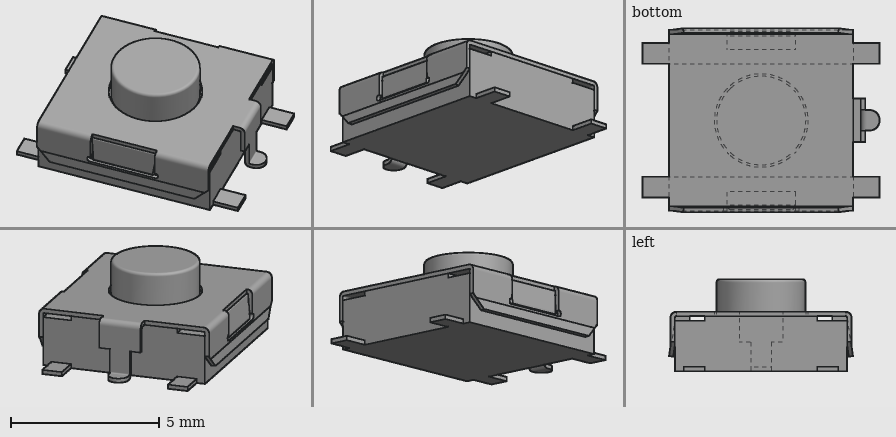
import cadquery as cq
import math


body_length = 6.2
base_width = 5.8
seat_height = 1.86
notch_floor = 1.7
lead_span = 8.0
lead_width = 0.7
lead_pitch = 4.5

sheet = 0.15
bend_radius = 0.2
inner_radius = bend_radius - sheet
skirt_end_height = 0.99
flare_start = 0.86
flare_drop = 0.37
flare_angle = 8.0
button_hole_diameter = 3.15

window_width = 2.32
window_bottom = 0.94
relief_diameter = 0.2
relief_length = 2.56
catch_block_depth = 0.5
catch_bottom = 1.0
catch_reach = 0.1
catch_lip_height = 0.08
catch_flank = 0.09

tab_outer_x = 3.52
tab_width = 1.48
tab_shoulder = 1.0

button_diameter = 3.0
button_top = 3.1
button_edge_radius = 0.1

base_side = base_width / 2
cover_side = base_side + sheet
cover_top = seat_height + sheet
notch_width = base_side - (lead_pitch - lead_width) / 2
overcut = 0.4


def box(x_range, y_range, z_range):
    """Box between the given limits on each axis."""
    size = [high - low for low, high in (x_range, y_range, z_range)]
    corner = (x_range[0], y_range[0], z_range[0])
    return cq.Workplane("XY").box(*size, centered=False).translate(corner)


def on_both_sides(shape):
    """A feature of the -Y side together with its mirror image on the +Y side."""
    return shape.union(shape.mirror("XZ"))


def make_catch():
    """Wedge on the -Y side of the base, flush at the top edge, with leaning flanks and a flat underside."""
    half_width = window_width / 2
    profile = [
        (-base_side, seat_height - inner_radius),
        (-base_side, catch_bottom),
        (-base_side - catch_reach, catch_bottom),
        (-base_side - catch_reach, catch_bottom + catch_lip_height),
    ]
    wedge = cq.Workplane("YZ").polyline(profile).close().extrude(half_width, both=True)
    flanks = (
        cq.Workplane("XY")
        .polyline([
            (-half_width, -base_side),
            (half_width, -base_side),
            (half_width - catch_flank, -base_side - catch_reach),
            (-half_width + catch_flank, -base_side - catch_reach),
        ])
        .close()
        .extrude(seat_height)
    )
    return wedge.intersect(flanks)


def make_base():
    half_length = body_length / 2
    half_window = window_width / 2
    base = box((-half_length, half_length), (-base_side, base_side), (0, seat_height))
    base = base.edges("|X and >Z").fillet(inner_radius)

    notch = box(
        (-half_length, half_length), (-base_side, notch_width - base_side), (notch_floor, seat_height)
    )
    catch_block = box(
        (-half_window, half_window), (-base_side, catch_block_depth - base_side), (notch_floor, seat_height)
    )
    base = base.cut(on_both_sides(notch.cut(catch_block)))
    base = base.union(on_both_sides(make_catch()))

    for row_y in (-lead_pitch / 2, lead_pitch / 2):
        leads = box(
            (-lead_span / 2, lead_span / 2), (row_y - lead_width / 2, row_y + lead_width / 2), (0, sheet)
        )
        base = base.union(leads)
    return base


def make_channel():
    """Roof and two straight skirts, bent from one sheet."""
    half_length = body_length / 2
    outside = box((-half_length, half_length), (-cover_side, cover_side), (flare_start, cover_top))
    outside = outside.edges("|X and >Z").fillet(bend_radius)
    inside = box((-half_length, half_length), (-base_side, base_side), (flare_start, seat_height))
    inside = inside.edges("|X and >Z").fillet(inner_radius)
    return outside.cut(inside)


def make_flared_lip():
    """Lip below the -Y skirt, turned outwards about the inside of the bend."""
    lip = box(
        (-body_length / 2, body_length / 2),
        (-cover_side, -base_side),
        (flare_start - flare_drop, flare_start + sheet * math.tan(math.radians(flare_angle))),
    )
    lip = lip.rotate((0, -base_side, flare_start), (1, -base_side, flare_start), -flare_angle)
    outer_limit = box(
        (-body_length / 2, body_length / 2), (-cover_side - overcut, -base_side), (0, flare_start)
    )
    return lip.intersect(outer_limit)


def make_corner_cut():
    """Cutter that takes the lower skirt corners off at 45 degrees."""
    half_length = body_length / 2
    corner = (
        cq.Workplane("XZ")
        .polyline([(-half_length, skirt_end_height), (-half_length + skirt_end_height, 0), (-half_length, 0)])
        .close()
        .extrude(cover_side + overcut, both=True)
    )
    return corner.union(corner.mirror("YZ"))


def make_window():
    """Cutter for the -Y snap window: opening through the bend, and the relief slot at its bottom."""
    opening = box(
        (-window_width / 2, window_width / 2),
        (-cover_side - overcut, bend_radius - cover_side),
        (window_bottom, cover_top + overcut),
    )
    relief = (
        cq.Workplane("XZ", origin=(0, -base_side, window_bottom + relief_diameter / 2))
        .slot2D(relief_length, relief_diameter)
        .extrude(sheet + overcut)
    )
    return opening.union(relief)


def make_ground_tab():
    """Strip that leaves the roof at +X, bends down, narrows, and ends in a rounded foot."""
    inner_x = tab_outer_x - sheet
    foot_tip = lead_span / 2
    diagonal = math.sqrt(0.5)
    top_centre = (tab_outer_x - bend_radius, cover_top - bend_radius)
    foot_centre = (inner_x + bend_radius, bend_radius)

    def arc_middle(centre, radius, side):
        return (centre[0] + side * radius * diagonal, centre[1] + side * radius * diagonal)

    strip = (
        cq.Workplane("XZ")
        .moveTo(body_length / 2, cover_top)
        .lineTo(top_centre[0], cover_top)
        .threePointArc(arc_middle(top_centre, bend_radius, 1), (tab_outer_x, top_centre[1]))
        .lineTo(tab_outer_x, foot_centre[1])
        .threePointArc(arc_middle(foot_centre, inner_radius, -1), (foot_centre[0], sheet))
        .lineTo(foot_tip, sheet)
        .lineTo(foot_tip, 0)
        .lineTo(foot_centre[0], 0)
        .threePointArc(arc_middle(foot_centre, bend_radius, -1), (inner_x, foot_centre[1]))
        .lineTo(inner_x, top_centre[1])
        .threePointArc(arc_middle(top_centre, inner_radius, 1), (top_centre[0], seat_height))
        .lineTo(body_length / 2, seat_height)
        .close()
        .extrude(tab_width / 2, both=True)
    )

    foot_radius = lead_width / 2
    wide_part = box(
        (body_length / 2, tab_outer_x), (-tab_width / 2, tab_width / 2), (tab_shoulder, cover_top)
    )
    narrow_part = box(
        (body_length / 2, foot_tip - foot_radius), (-foot_radius, foot_radius), (0, tab_shoulder)
    )
    foot_end = cq.Workplane("XY").center(foot_tip - foot_radius, 0).circle(foot_radius).extrude(sheet)
    return strip.intersect(wide_part.union(narrow_part).union(foot_end))


def make_cover():
    cover = make_channel().union(on_both_sides(make_flared_lip()))
    cover = cover.cut(make_corner_cut())
    cover = cover.cut(on_both_sides(make_window()))
    button_hole = cq.Workplane("XY").circle(button_hole_diameter / 2).extrude(cover_top + overcut)
    return cover.cut(button_hole).union(make_ground_tab())


def make_button():
    """Round plunger standing on the base."""
    button = (
        cq.Workplane("XY", origin=(0, 0, seat_height))
        .circle(button_diameter / 2)
        .extrude(button_top - seat_height)
    )
    return button.faces(">Z").edges().fillet(button_edge_radius)


base = make_base()
cover = make_cover()
button = make_button()

result = cq.Compound.makeCompound([base.val(), cover.val(), button.val()])